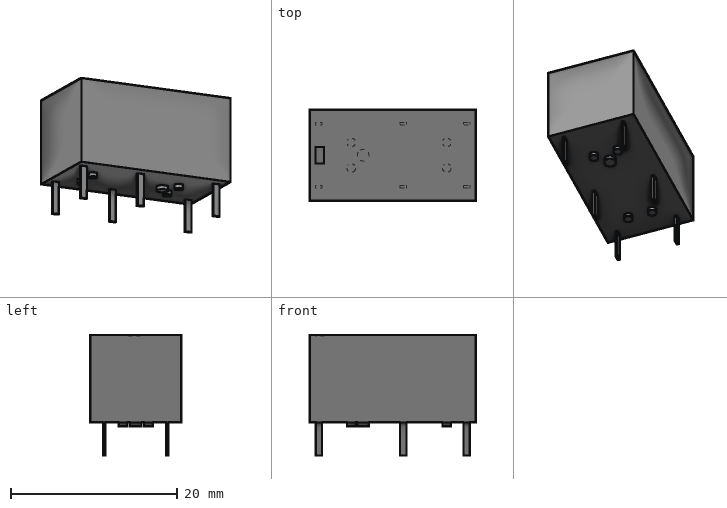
import cadquery as cq

body_length = 20.0
body_width = 11.0
body_height = 10.5

pin_grid = 2.55
pin_grid_steps = (0, 4, 7)
pin_row_spacing = 3 * pin_grid
pin_width = 0.8
pin_thickness = 0.3
pin_length = 4.0

standoff_height = 0.5
small_standoff_diameter = 1.05
small_standoff_xs = (-5.0, 6.5)
small_standoff_y = 1.55
large_standoff_diameter = 1.4
large_standoff_x = -3.55

marker_length = 1.0
marker_width = 2.0
marker_depth = 0.1
marker_end_gap = 0.7


def make_body():
    return cq.Workplane("XY").box(
        body_length, body_width, body_height, centered=(True, True, False)
    )


def make_pins():
    first_pin_x = -pin_grid * pin_grid_steps[-1] / 2
    centres = [
        (first_pin_x + step * pin_grid, side * pin_row_spacing / 2)
        for step in pin_grid_steps
        for side in (-1, 1)
    ]
    return (
        cq.Workplane("XY")
        .pushPoints(centres)
        .rect(pin_width, pin_thickness)
        .extrude(-pin_length)
    )


def make_standoffs(centres, diameter):
    return (
        cq.Workplane("XY")
        .pushPoints(centres)
        .circle(diameter / 2)
        .extrude(-standoff_height)
    )


def make_marker():
    marker_x = -body_length / 2 + marker_end_gap + marker_length / 2
    return (
        cq.Workplane("XY", origin=(marker_x, 0, body_height))
        .rect(marker_length, marker_width)
        .extrude(-marker_depth)
    )


small_standoff_centres = [
    (x, side * small_standoff_y) for x in small_standoff_xs for side in (-1, 1)
]

result = (
    make_body()
    .union(make_pins())
    .union(make_standoffs(small_standoff_centres, small_standoff_diameter))
    .union(make_standoffs([(large_standoff_x, 0)], large_standoff_diameter))
    .cut(make_marker())
)